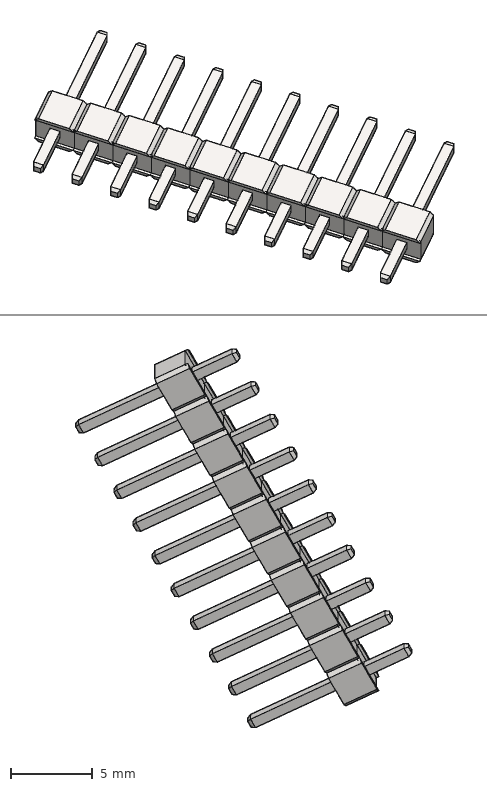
import cadquery as cq

row_length = 25.4
contact_count = 10
pitch = row_length / contact_count

block_height = 2.4
block_depth = 2.29
edge_chamfer = 0.25
front_recess = 0.18
recess_height = block_height - 2 * edge_chamfer

pin_width = 0.65
front_pin_reach = 2.82
rear_pin_reach = 6.0
tip_length = 0.25
tip_width = 0.45

block_front = -block_depth / 2
block_rear = block_depth / 2
pin_front = block_front - front_pin_reach
pin_rear = block_rear + rear_pin_reach


def make_block():
    """Chamfered block whose front face is set back between a top and a bottom lip."""
    block = (
        cq.Workplane("XY")
        .box(pitch, block_depth, block_height)
        .edges("|Y")
        .chamfer(edge_chamfer)
    )
    recess = (
        cq.Workplane("XY")
        .box(pitch, front_recess, recess_height)
        .translate((0, block_front + front_recess / 2, 0))
    )
    return block.cut(recess)


def make_tip(base_y, tip_y):
    """Four-sided taper from the full pin section at base_y to a smaller square at tip_y."""
    return (
        cq.Workplane("XZ", origin=(0, base_y, 0))
        .rect(pin_width, pin_width)
        .workplane(offset=base_y - tip_y)
        .rect(tip_width, tip_width)
        .loft(ruled=True)
    )


def make_pin():
    """Square pin along Y with a tapered tip at each end."""
    shank_front = pin_front + tip_length
    shank_rear = pin_rear - tip_length
    shank = (
        cq.Workplane("XY")
        .box(pin_width, shank_rear - shank_front, pin_width)
        .translate((0, (shank_front + shank_rear) / 2, 0))
    )
    front_tip = make_tip(shank_front, pin_front)
    rear_tip = make_tip(shank_rear, pin_rear)
    return shank.union(front_tip).union(rear_tip)


def make_contact(x_center):
    """One pole of the header: a block and its pin as a single solid."""
    return make_block().union(make_pin()).translate((x_center, 0, 0))


first_x = -(row_length - pitch) / 2
contacts = [make_contact(first_x + index * pitch) for index in range(contact_count)]

result = cq.Compound.makeCompound([contact.val() for contact in contacts])